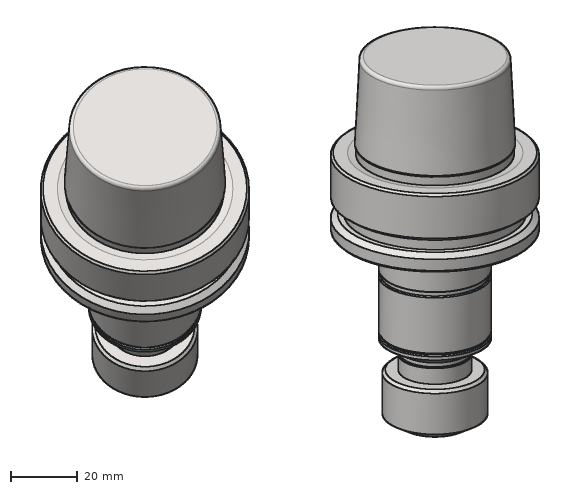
import cadquery as cq
import math

total_length = 120.9

shank_top_radius = 22.9
shank_base_radius = 24.3
shank_base_z = 92.1
shank_edge_fillet = 1.2
shank_neck_radius = 23.9
shank_neck_step = 0.6

flange_radius = 31.5
flange_top_z = 89.1
flange_bottom_z = 63.2
flange_chamfer = 0.7
face_relief_radius = 26.5
face_relief_depth = 0.4
groove_radius = 27.6
groove_top_z = 73.1
groove_bottom_z = 69.2
groove_bevel_width = 2.0
groove_bevel_height = 1.5

body_radius = 17.0
body_fillet = 2.4
ring_groove_depth = 0.5
upper_ring_z = 49.7
upper_ring_width = 1.9
lower_ring_z = 29.9
lower_ring_width = 1.1
ring_side_height = 0.4
body_bottom_z = 28.2
body_cone_angle = 30.0

stem_radius = 11.1
stem_top_z = 22.9
undercut_radius = 10.8
undercut_step = 0.4

head_radius = 16.0
head_top_z = 17.7
head_chamfer = 1.0
head_cone_height = 3.3
head_bottom_radius = 10.5

body_cone_height = (body_radius - undercut_radius) * math.tan(math.radians(body_cone_angle))
bevel_radius = flange_radius - groove_bevel_width


def ring_cutter(center_z, width):
    """Ring cutter for a shallow body groove with sloped sides."""
    top_z = center_z + width / 2
    bottom_z = center_z - width / 2
    floor_radius = body_radius - ring_groove_depth
    return (
        cq.Workplane("XZ")
        .moveTo(body_radius, bottom_z)
        .lineTo(floor_radius, bottom_z + ring_side_height)
        .lineTo(floor_radius, top_z - ring_side_height)
        .lineTo(body_radius, top_z)
        .close()
        .revolve(360, (0, 0, 0), (0, 1, 0))
    )


profile = (
    cq.Workplane("XZ")
    .moveTo(0, 0)
    .lineTo(head_bottom_radius, 0)
    .lineTo(head_radius, head_cone_height)
    .lineTo(head_radius, head_top_z - head_chamfer)
    .lineTo(head_radius - head_chamfer, head_top_z)
    .lineTo(stem_radius, head_top_z)
    .lineTo(stem_radius, stem_top_z)
    .lineTo(undercut_radius, stem_top_z + undercut_step)
    .lineTo(undercut_radius, body_bottom_z - body_cone_height)
    .lineTo(body_radius, body_bottom_z)
    .lineTo(body_radius, flange_bottom_z - body_fillet)
    .radiusArc((body_radius + body_fillet, flange_bottom_z), body_fillet)
    .lineTo(flange_radius - flange_chamfer, flange_bottom_z)
    .lineTo(flange_radius, flange_bottom_z + flange_chamfer)
    .lineTo(flange_radius, groove_bottom_z - groove_bevel_height)
    .lineTo(bevel_radius, groove_bottom_z)
    .lineTo(groove_radius, groove_bottom_z)
    .lineTo(groove_radius, groove_top_z)
    .lineTo(bevel_radius, groove_top_z)
    .lineTo(flange_radius, groove_top_z + groove_bevel_height)
    .lineTo(flange_radius, flange_top_z - flange_chamfer)
    .lineTo(flange_radius - flange_chamfer, flange_top_z)
    .lineTo(face_relief_radius, flange_top_z)
    .lineTo(shank_neck_radius, flange_top_z - face_relief_depth)
    .lineTo(shank_neck_radius, shank_base_z - shank_neck_step)
    .lineTo(shank_base_radius, shank_base_z)
    .lineTo(shank_top_radius, total_length)
    .lineTo(0, total_length)
    .close()
)

holder = profile.revolve(360, (0, 0, 0), (0, 1, 0))
holder = holder.faces(">Z").edges().fillet(shank_edge_fillet)
holder = holder.cut(ring_cutter(upper_ring_z, upper_ring_width))
result = holder.cut(ring_cutter(lower_ring_z, lower_ring_width))